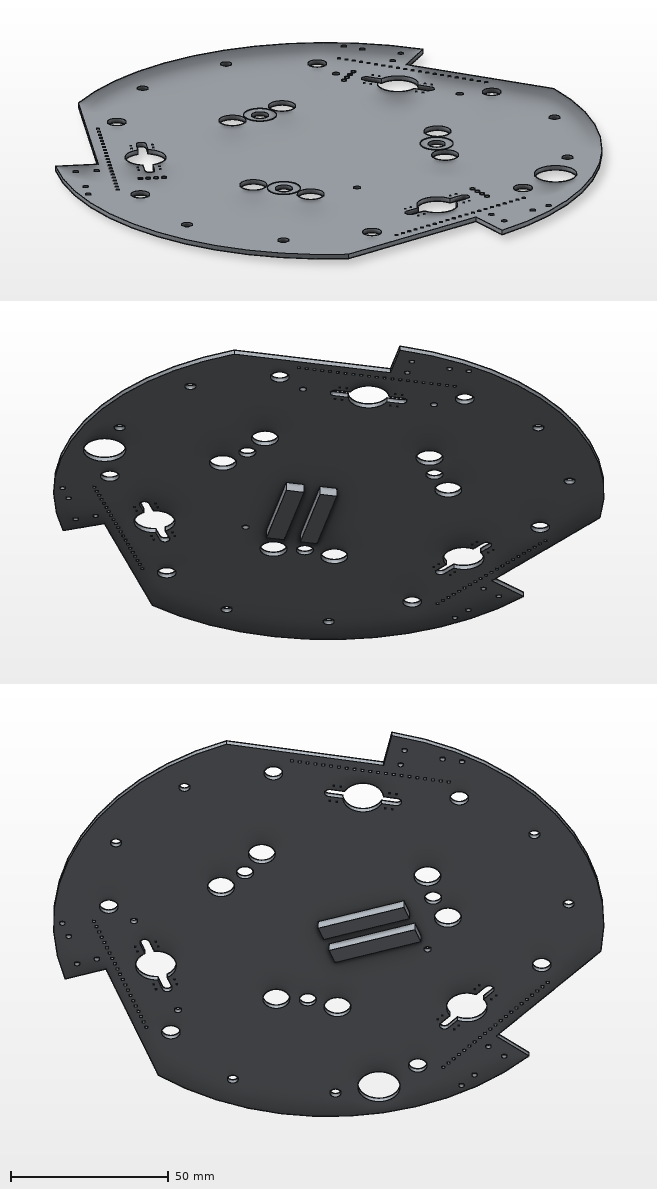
import cadquery as cq
import math

plate_radius = 87.5
plate_thickness = 1.5
recess_depth = 0.2
sectors = 3
sector_angle = 360 / sectors

notch_side_x = -3.7
notch_floor_y = 73.6

port_y = 58.0
window_diameter = 13.0
slot_length = 24.8
slot_width = 3.1
pin_diameter = 0.5
pin_xs = (7.9, 10.1)
pin_offset_y = 3.5

long_header_count = 21
long_header_length = 50.7
header_pitch = long_header_length / (long_header_count - 1)
long_header_y = 70.1
long_header_diameter = 1.01
short_header_count = 4
short_header_x = -17.0
short_header_diameter = 1.6

rim_hole_diameter = 1.7
rim_hole_places = [(-9.0, 81.5), (-9.0, 74.9), (-21.5, 80.0), (-27.8, 80.0)]
sector_hole_diameter = 6.0
sector_hole_x = 30.0
sector_hole_y = 63.5
edge_hole_diameter = 3.5
edge_hole_radius = 76.8
edge_hole_spread = 12.5

mount_angle = 30
mount_radius = 35.2
mount_diameter = 5.5
mount_recess_diameter = 10.5
flank_diameter = 8.5
flank_radius = 38.0
flank_spread = 15.1

cable_hole_diameter = 13.5
cable_hole_place = (75.0, 9.1)
peg_diameter = 2.3
peg_x = 21.3
peg_low_y = -25.9

block_height = 3.0
block_length = 28.9
block_center_y = -11.5
block_spans = [(-2.0, 3.5), (8.7, 14.5)]


def polar(radius, angle):
    """Point at a radius and an angle in degrees from the plate centre."""
    return (radius * math.cos(math.radians(angle)), radius * math.sin(math.radians(angle)))


def holes(places, diameter):
    """Cutters for round through holes."""
    return cq.Workplane("XY").pushPoints(places).circle(diameter / 2).extrude(plate_thickness)


def recesses(places, diameter):
    """Cutters for shallow round recesses in the top face."""
    return holes(places, diameter).translate((0, 0, plate_thickness - recess_depth))


def notch():
    """Cutter that leaves a flat edge and a step in the rim."""
    corner = cq.Workplane("XY").box(plate_radius, plate_radius, plate_thickness, centered=False)
    return corner.translate((notch_side_x, notch_floor_y, 0))


def port():
    """Cutters for the window, its slot and the pin holes beside the slot."""
    pin_columns = [side * x for x in pin_xs for side in (-1, 1)]
    pins = [(x, port_y + row * pin_offset_y) for x in pin_columns for row in (-1, 1)]
    slot = cq.Workplane("XY").center(0, port_y).slot2D(slot_length, slot_width).extrude(plate_thickness)
    window = holes([(0, port_y)], window_diameter)
    return [window.union(slot), holes(pins, pin_diameter)]


def headers():
    """Cutters for the long row of header holes along X and the short row of recesses along Y."""
    long_start = -long_header_length / 2
    short_start = port_y - header_pitch * (short_header_count - 1) / 2
    long_row = [(long_start + i * header_pitch, long_header_y) for i in range(long_header_count)]
    short_row = [(short_header_x, short_start + i * header_pitch) for i in range(short_header_count)]
    return [holes(long_row, long_header_diameter), recesses(short_row, short_header_diameter)]


def screw_holes():
    """Cutters for the screw holes near the rim."""
    pair = [(side * sector_hole_x, sector_hole_y) for side in (-1, 1)]
    edge = [polar(edge_hole_radius, mount_angle + side * edge_hole_spread) for side in (-1, 1)]
    return [
        holes(rim_hole_places, rim_hole_diameter),
        holes(pair, sector_hole_diameter),
        holes(edge, edge_hole_diameter),
    ]


def mount():
    """Cutters for one counterbored mount hole and its two flanking holes."""
    center = polar(mount_radius, mount_angle)
    flanks = [polar(flank_radius, mount_angle + side * flank_spread) for side in (-1, 1)]
    recess = recesses([center], mount_recess_diameter)
    return [holes([center], mount_diameter), recess, holes(flanks, flank_diameter)]


plate = cq.Workplane("XY").circle(plate_radius).extrude(plate_thickness)

sector_cutters = [notch()] + port() + headers() + screw_holes() + mount()
for sector in range(sectors):
    for cutter in sector_cutters:
        plate = plate.cut(cutter.rotate((0, 0, 0), (0, 0, 1), sector * sector_angle))

peg_places = [(-peg_x, port_y), (peg_x, port_y), (peg_x, peg_low_y)]
plate = plate.cut(holes(peg_places, peg_diameter))
plate = plate.cut(holes([cable_hole_place], cable_hole_diameter))

for left, right in block_spans:
    block = cq.Workplane("XY").box(right - left, block_length, block_height, centered=(False, True, False))
    plate = plate.union(block.translate((left, block_center_y, -block_height)))

result = plate